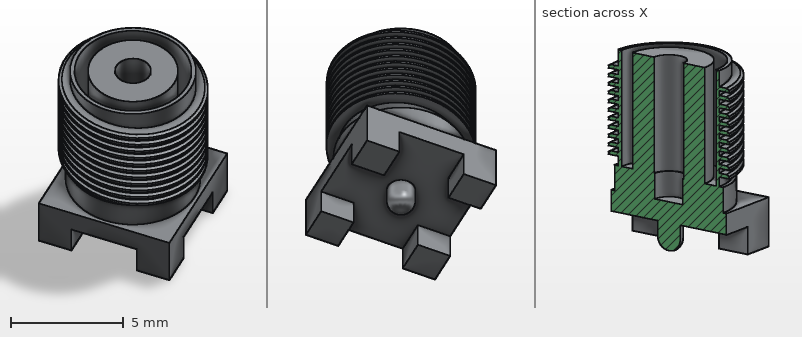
import cadquery as cq

height = 8.84

base_width = 6.35
base_thickness = 1.0
foot_width = 1.59
foot_height = 1.28

collar_diameter = 6.0
collar_height = 1.185
barrel_diameter = 5.6

groove_outer_diameter = 5.2
post_diameter = 4.0
bore_diameter = 1.6
bore_end_diameter = 1.52

pin_diameter = 1.27
pin_end_radius = 0.6

flange_diameter = 6.665
flange_thickness = 0.2
flange_count = 11
flange_stack_height = 4.0
flange_tilt = 5.1
flange_chamfer_width = 0.14
flange_chamfer_height = 0.08
lowest_flange_z = 3.89

base_top = foot_height + base_thickness
collar_top = base_top + collar_height
cavity_floor = collar_top
flange_pitch = flange_stack_height / (flange_count - 1)


def cylinder(diameter, bottom, top):
    """Upright cylinder on the main axis."""
    return cq.Workplane("XY").workplane(offset=bottom).circle(diameter / 2).extrude(top - bottom)


def make_base():
    plate = (
        cq.Workplane("XY")
        .workplane(offset=foot_height)
        .rect(base_width, base_width)
        .extrude(base_thickness)
    )
    foot_spacing = base_width - foot_width
    feet = (
        cq.Workplane("XY")
        .rect(foot_spacing, foot_spacing, forConstruction=True)
        .vertices()
        .rect(foot_width, foot_width)
        .extrude(base_top)
    )
    return plate.union(feet)


def make_pin():
    return cylinder(pin_diameter, 0, foot_height).faces("<Z").edges().fillet(pin_end_radius)


def make_flange(bottom_z):
    """Disc with a bevelled upper rim, its centre on the axis, its -X side raised."""
    radius = flange_diameter / 2
    profile = [
        (0, 0),
        (radius, 0),
        (radius, flange_thickness - flange_chamfer_height),
        (radius - flange_chamfer_width, flange_thickness),
        (0, flange_thickness),
    ]
    disc = cq.Workplane("XZ").polyline(profile).close().revolve(360, (0, 0, 0), (0, 1, 0))
    return disc.rotate((0, 0, 0), (0, 1, 0), flange_tilt).translate((0, 0, bottom_z))


def make_cavities():
    groove = cylinder(groove_outer_diameter, cavity_floor, height).cut(
        cylinder(post_diameter, cavity_floor, height)
    )
    bore = cylinder(bore_diameter, cavity_floor, height)
    bore_end = cylinder(bore_end_diameter, base_top, cavity_floor)
    return groove.union(bore).union(bore_end)


body = make_base().union(make_pin())
body = body.union(cylinder(collar_diameter, base_top, collar_top))
body = body.union(cylinder(barrel_diameter, collar_top, height))
for index in range(flange_count):
    body = body.union(make_flange(lowest_flange_z + index * flange_pitch))

result = body.cut(make_cavities())